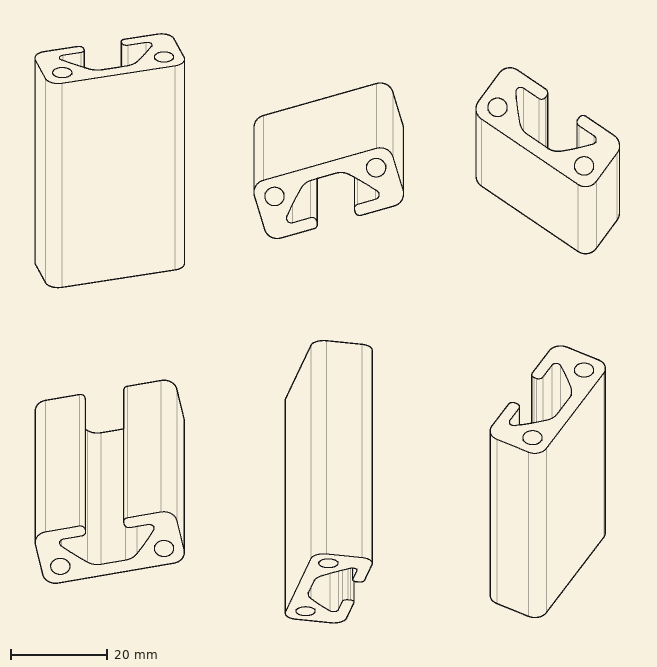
import cadquery as cq
import math

width = 13.0
depth = 30.0
length = 50.0
corner_radius = 2.75

slot_width = 8.2
lip_thickness = 2.5
lip_radius = 1.0

back_wall = 2.8
back_half_width = 4.1
back_radius = 3.75
root_half_width = 11.0
flank_bow = 0.25
lip_root_radius = 1.0

hole_diameter = 4.0
hole_inset = 4.0

front_x = -width / 2
lip_inner_x = front_x + lip_thickness
back_x = width / 2 - back_wall


def vertical_edges_at(x, y):
    """Select the two lengthwise edges at (x, y) and (x, -y)."""
    reach = 0.05
    selector = None
    for edge_y in (y, -y):
        box = cq.selectors.BoxSelector(
            (x - reach, edge_y - reach, -reach),
            (x + reach, edge_y + reach, length + reach),
        )
        selector = box if selector is None else selector + box
    return selector


def make_cavity():
    """Cavity behind the lips, with rounded back corners and lip roots."""
    flank_run = back_x - lip_inner_x
    flank_rise = root_half_width - back_half_width
    flank_chord = math.hypot(flank_run, flank_rise)
    bow_x = (lip_inner_x + back_x) / 2 + flank_bow * flank_rise / flank_chord
    bow_y = (root_half_width + back_half_width) / 2 + flank_bow * flank_run / flank_chord
    cavity = (
        cq.Workplane("XY")
        .moveTo(lip_inner_x, root_half_width)
        .threePointArc((bow_x, bow_y), (back_x, back_half_width))
        .lineTo(back_x, -back_half_width)
        .threePointArc((bow_x, -bow_y), (lip_inner_x, -root_half_width))
        .close()
        .extrude(length)
    )
    cavity = cavity.edges(vertical_edges_at(back_x, back_half_width)).fillet(back_radius)
    return cavity.edges(vertical_edges_at(lip_inner_x, root_half_width)).fillet(lip_root_radius)


def make_slot():
    """Straight opening between the lips, reaching into the cavity."""
    return (
        cq.Workplane("XY")
        .rect(2 * lip_thickness, slot_width)
        .extrude(length)
        .translate((front_x, 0, 0))
    )


def make_holes():
    """Two lengthwise holes in the back corners."""
    hole_x = width / 2 - hole_inset
    hole_y = depth / 2 - hole_inset
    return (
        cq.Workplane("XY")
        .pushPoints([(hole_x, hole_y), (hole_x, -hole_y)])
        .circle(hole_diameter / 2)
        .extrude(length)
    )


body = cq.Workplane("XY").rect(width, depth).extrude(length)
body = body.edges("|Z").fillet(corner_radius)
body = body.cut(make_cavity()).cut(make_slot()).cut(make_holes())

for tip_x in (front_x, lip_inner_x):
    body = body.edges(vertical_edges_at(tip_x, slot_width / 2)).fillet(lip_radius)

result = body